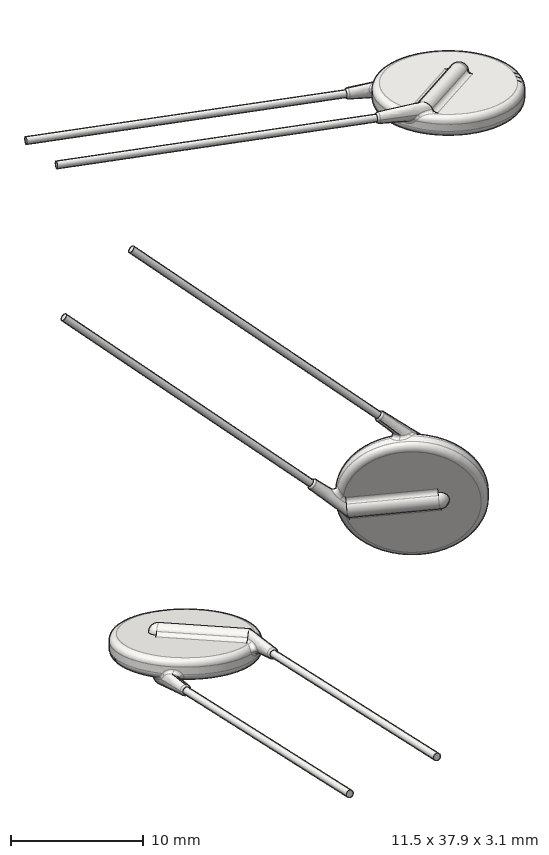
import cadquery as cq
import math

disc_diameter = 11.5
disc_thickness = 1.7
disc_edge_radius = 0.55

lead_spacing = 7.5
lead_height = 0.8
lead_radius = 0.3
lead_length_past_center = 32.18
lead_overlap = 0.4

ridge_radius = 0.75
ridge_angle = 40.0
ridge_tip_distance = 2.08
ridge_blend_radius = 0.48
ridge_root_depth = 0.4
leg_blend_radius = 0.3
leg_end_radius = 0.43
leg_end_y = -6.92
leg_end_round = 0.2

tolerance = 0.01

disc_radius = disc_diameter / 2
disc_top = disc_thickness / 2
lead_x = lead_spacing / 2
lead_end_y = -lead_length_past_center
lead_start_y = leg_end_y + lead_overlap
lead_direction = cq.Vector(0, -1, 0)
ridge_cos = math.cos(math.radians(ridge_angle))
ridge_sin = math.sin(math.radians(ridge_angle))
ridge_direction = cq.Vector(ridge_cos, -ridge_sin, 0)
bend_point = cq.Vector(lead_x, -lead_x * math.tan(math.radians(ridge_angle)), lead_height)
ridge_tip = ridge_direction * -ridge_tip_distance + cq.Vector(0, 0, lead_height)
ridge_length = (bend_point - ridge_tip).Length


def make_disc():
    """Round disc with both rims rounded over."""
    disc = cq.Workplane("XY").workplane(offset=-disc_top).circle(disc_radius).extrude(disc_thickness)
    return disc.edges("%CIRCLE").fillet(disc_edge_radius)


def turn_over(body):
    """Half turn about the Y axis, from the upper lead to the lower one."""
    return body.rotate((0, 0, 0), (0, 1, 0), 180)


def bend_plane():
    """Plane square to the ridge at the bend, facing the tip, with local Y pointing up."""
    across = ridge_direction.cross(cq.Vector(0, 0, 1))
    return cq.Plane(origin=bend_point, xDir=across, normal=ridge_direction * -1)


def make_tapered_leg():
    """Coating tapering from the bend to a rounded end on the lead."""
    start = cq.Wire.makeCircle(ridge_radius, bend_point, ridge_direction)
    end_center = cq.Vector(lead_x, leg_end_y, lead_height)
    finish = cq.Wire.makeCircle(leg_end_radius, end_center, lead_direction)
    taper = cq.Workplane(obj=cq.Solid.makeLoft([start, finish], True))
    return taper.faces("<Y").edges().fillet(leg_end_round)


def make_ridge_bar():
    """Straight bar from the bend, round on top with concave blends to the disc face."""
    face_y = disc_top - lead_height
    blend_center_y = face_y + ridge_blend_radius
    blend_center_distance = ridge_radius + ridge_blend_radius
    tangent_angle = math.asin(blend_center_y / blend_center_distance)
    foot_x = blend_center_distance * math.cos(tangent_angle)
    tangent_x = ridge_radius * math.cos(tangent_angle)
    tangent_y = ridge_radius * math.sin(tangent_angle)
    mid_angle = (tangent_angle + math.pi / 2) / 2
    mid_x = foot_x - ridge_blend_radius * math.cos(mid_angle)
    mid_y = blend_center_y - ridge_blend_radius * math.sin(mid_angle)
    section = (
        cq.Workplane(bend_plane())
        .moveTo(-foot_x, face_y)
        .threePointArc((-mid_x, mid_y), (-tangent_x, tangent_y))
        .threePointArc((0, ridge_radius), (tangent_x, tangent_y))
        .threePointArc((mid_x, mid_y), (foot_x, face_y))
        .lineTo(foot_x, -ridge_root_depth)
        .lineTo(-foot_x, -ridge_root_depth)
        .close()
    )
    return section.extrude(ridge_length)


def make_ridge():
    """Ridge across the disc face with a ball-shaped tip."""
    ball = cq.Workplane("XY").sphere(ridge_radius).translate(ridge_tip)
    return make_ridge_bar().union(ball)


def make_lead():
    """Straight round wire, starting inside the leg."""
    start = cq.Vector(lead_x, lead_start_y, lead_height)
    wire = cq.Solid.makeCylinder(lead_radius, lead_start_y - lead_end_y, start, lead_direction)
    return cq.Workplane(obj=wire)


def is_leg_root(edge):
    """True for the edges where the upper tapered leg meets the disc."""
    box = edge.BoundingBox()
    return edge.geomType() == "BSPLINE" and box.zmax < disc_top + tolerance and box.ymin > -disc_radius


def add_blended_leg(body):
    """Join the upper tapered leg to the disc with a rolled blend around its root."""
    joined = body.union(make_tapered_leg())
    roots = [edge for edge in joined.edges().vals() if is_leg_root(edge) and edge.Center().x > 0]
    return joined.newObject(roots).fillet(leg_blend_radius)


body = add_blended_leg(turn_over(add_blended_leg(make_disc())))
ridge_and_lead = make_ridge().union(make_lead())
result = body.union(ridge_and_lead).union(turn_over(ridge_and_lead))